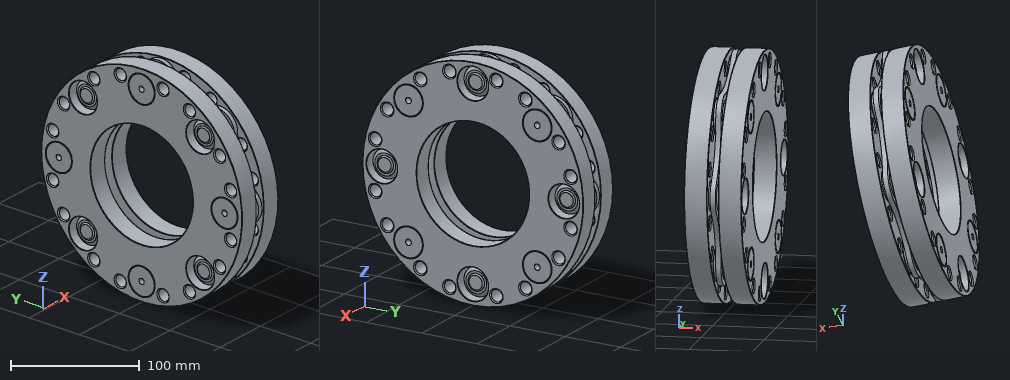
import cadquery as cq
import math


OUTER_DIAMETER = 200.0
TOTAL_LENGTH = 45.2
PLATE_THICKNESS = 18.2
PLATE_BORE = 102.0
PLATE_CHAMFER = 0.5

STATION_COUNT = 8
PIN_PITCH_RADIUS = 82.5
FIXED_PIN_DIAMETER = 26.0
FREE_PIN_DIAMETER = 25.0
RIM_GROOVE_WIDTH = 0.8
RIM_GROOVE_DEPTH = 0.5
CENTRE_MARK_DIAMETER = 5.2
CENTRE_MARK_DEPTH = 2.0

CLEARANCE_DIAMETER = 28.0
CLEARANCE_CHAMFER = 0.5
PIN_NOSE_RECESS = 4.2
PIN_NOSE_HEIGHT = 1.0
PIN_NOSE_TIP_DIAMETER = 12.0
PIN_NOSE_BASE_DIAMETER = 14.8
PIN_STEP_DIAMETER = 18.8
PIN_STEP_DEPTH = 0.8
PIN_SHOULDER_DIAMETER = 20.5
PIN_SHOULDER_DEPTH = 1.5

BOLT_DIAMETER = 10.2
BOLT_CHAMFER = 1.0
BOLT_PITCH_RADIUS = 91.0
BOLT_OFFSET_ANGLE = 13.5

ELEMENT_THICKNESS = 4.2
ELEMENT_BORE = 130.0
SCALLOP_RADIUS = 60.0

STATION_STEP = 360.0 / STATION_COUNT
PIN_OVERLAP = 2.0


def polar(radius, angle):
    """Point in the YZ plane at a radius and an angle in degrees."""
    return (radius * math.cos(math.radians(angle)), radius * math.sin(math.radians(angle)))


def disc(x, diameter, length, centres):
    """Cylinders along +X starting at x."""
    return cq.Workplane("YZ", origin=(x, 0, 0)).pushPoints(centres).circle(diameter / 2).extrude(length)


def turned(profile, centre):
    """Solid of revolution about a line along X through centre; profile points are (x, radius)."""
    spun = cq.Workplane("XY").polyline(profile).close().revolve(360, (0, 0, 0), (1, 0, 0))
    return spun.translate((0, centre[0], centre[1]))


def chamfered_hole(diameter, chamfer, centre):
    """Cutter for a through hole in the first plate, chamfered at both ends."""
    radius = diameter / 2
    wide = radius + chamfer
    far = PLATE_THICKNESS
    profile = [(0, 0), (0, wide), (chamfer, radius), (far - chamfer, radius), (far, wide), (far, 0)]
    return turned(profile, centre)


def fixed_pin_rim(centre):
    """Cutter for the V groove around the flush end of a fixed pin."""
    radius = FIXED_PIN_DIAMETER / 2
    half = RIM_GROOVE_WIDTH / 2
    return turned([(0, radius - half), (RIM_GROOVE_DEPTH, radius), (0, radius + half)], centre)


def centre_mark(centre):
    """Cutter for the conical centre mark in a pin end."""
    return turned([(0, 0), (0, CENTRE_MARK_DIAMETER / 2), (CENTRE_MARK_DEPTH, 0)], centre)


def free_pin_end(centre):
    """Stepped pin end with a tapered nose, from its clearance hole to the middle of the part."""
    radius = FREE_PIN_DIAMETER / 2
    top = PIN_NOSE_RECESS
    step = top + PIN_NOSE_HEIGHT
    shoulder = step + PIN_STEP_DEPTH
    root = TOTAL_LENGTH / 2
    profile = [
        (top, 0),
        (top, PIN_NOSE_TIP_DIAMETER / 2),
        (step, PIN_NOSE_BASE_DIAMETER / 2),
        (step, PIN_STEP_DIAMETER / 2),
        (shoulder, PIN_SHOULDER_DIAMETER / 2),
        (shoulder + PIN_SHOULDER_DEPTH, radius),
        (root, radius),
        (root, 0),
    ]
    return turned(profile, centre)


def plate_with_pins():
    """First plate and the pin halves on its side; fixed pins lie on the Y and Z axes."""
    plate = disc(0, OUTER_DIAMETER, PLATE_THICKNESS, [(0, 0)])
    plate = plate.cut(disc(0, PLATE_BORE, PLATE_THICKNESS, [(0, 0)]))
    plate = plate.faces("<X or >X").edges().chamfer(PLATE_CHAMFER)
    for station in range(STATION_COUNT):
        angle = station * STATION_STEP
        for side in (-1, 1):
            bolt = polar(BOLT_PITCH_RADIUS, angle + side * BOLT_OFFSET_ANGLE)
            plate = plate.cut(chamfered_hole(BOLT_DIAMETER, BOLT_CHAMFER, bolt))
        centre = polar(PIN_PITCH_RADIUS, angle)
        if station % 2 == 0:
            plate = plate.cut(fixed_pin_rim(centre)).cut(centre_mark(centre))
            collar_start = PLATE_THICKNESS - PIN_OVERLAP
            collar_length = TOTAL_LENGTH / 2 - collar_start
            plate = plate.union(disc(collar_start, FREE_PIN_DIAMETER, collar_length, [centre]))
        else:
            plate = plate.cut(chamfered_hole(CLEARANCE_DIAMETER, CLEARANCE_CHAMFER, centre))
            plate = plate.union(free_pin_end(centre))
    return plate


def flexible_element():
    """Ring with a round lobe at every pin and a tangent scallop between neighbouring lobes."""
    lobe_radius = OUTER_DIAMETER / 2 - PIN_PITCH_RADIUS
    half_step = STATION_STEP / 2
    pin_offset = PIN_PITCH_RADIUS * math.sin(math.radians(half_step))
    scallop_centre = PIN_PITCH_RADIUS * math.cos(math.radians(half_step)) + math.sqrt(
        (lobe_radius + SCALLOP_RADIUS) ** 2 - pin_offset**2
    )
    scallop_bottom = scallop_centre - SCALLOP_RADIUS

    scallop_y, scallop_z = polar(scallop_centre, half_step)
    share = lobe_radius / (lobe_radius + SCALLOP_RADIUS)
    tangent_y = PIN_PITCH_RADIUS + share * (scallop_y - PIN_PITCH_RADIUS)
    tangent_z = share * scallop_z
    tangent_radius = math.hypot(tangent_y, tangent_z)
    tangent_angle = math.degrees(math.atan2(tangent_z, tangent_y))

    start_x = (TOTAL_LENGTH - ELEMENT_THICKNESS) / 2
    outline = cq.Workplane("YZ", origin=(start_x, 0, 0)).moveTo(*polar(tangent_radius, -tangent_angle))
    for station in range(STATION_COUNT):
        angle = station * STATION_STEP
        next_angle = angle + STATION_STEP
        outline = outline.threePointArc(
            polar(OUTER_DIAMETER / 2, angle), polar(tangent_radius, angle + tangent_angle)
        )
        outline = outline.threePointArc(
            polar(scallop_bottom, angle + half_step), polar(tangent_radius, next_angle - tangent_angle)
        )
    element = outline.close().extrude(ELEMENT_THICKNESS)
    return element.cut(disc(start_x, ELEMENT_BORE, ELEMENT_THICKNESS, [(0, 0)]))


first_plate = plate_with_pins()
second_plate = (
    first_plate.mirror("YZ", (TOTAL_LENGTH / 2, 0, 0)).rotate((0, 0, 0), (1, 0, 0), STATION_STEP)
)
result = first_plate.union(flexible_element()).union(second_plate)